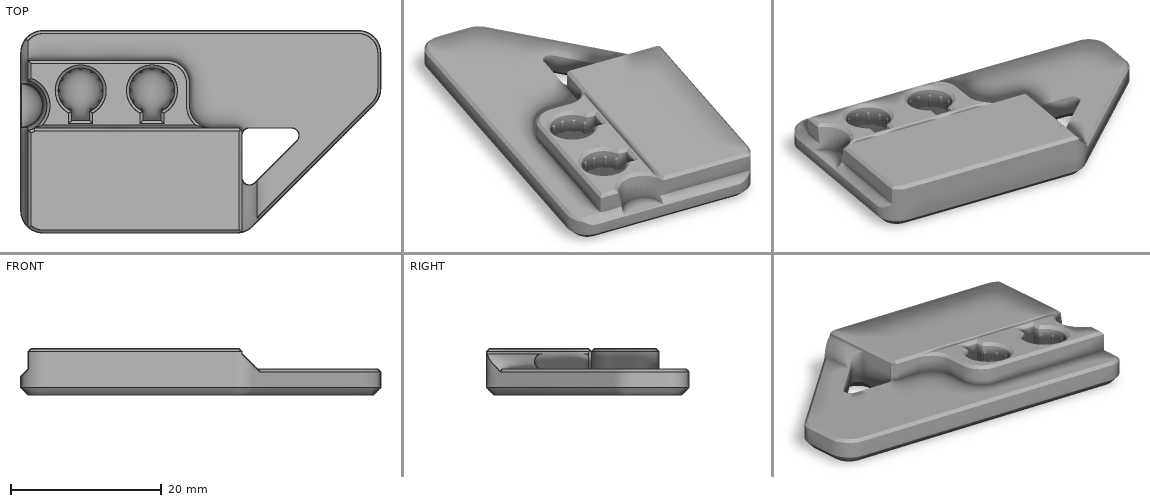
import cadquery as cq
import math

length = 48.0
width = 27.0
total_height = 6.2
plate_height = 3.5
corner_radius = 3.0
diagonal_foot = 30.0
base_chamfer = 1.0
edge_chamfer = 0.4
margin = 1.0

ledge = 1.0

block_end = 29.5
block_depth = 14.0
gusset_length = 2.0

magnet_block_end = 22.5
magnet_block_back = 23.0
magnet_block_radius = 3.0

pocket_xs = (8.0, 17.5)
pocket_y = 19.0
pocket_radius = 3.0
pocket_floor = 3.2
slot_width = 2.4
slot_end = 15.0
rib_count = 12
rib_radius = 0.25
rib_inset = 0.05
rib_top = 5.15
rib_tip = 0.25

open_pocket_y = 17.0
open_pocket_floor = 2.6
open_pocket_floor_radius = 2.9
open_pocket_rim_radius = 3.5

window_diagonal_foot = 24.5
window_radius = 1.0


def box(x_min, x_max, y_min, y_max, z_min, z_max):
    size = (x_max - x_min, y_max - y_min, z_max - z_min)
    return cq.Workplane("XY").box(*size, centered=False).translate((x_min, y_min, z_min))


def outline_prism(height):
    """Full part outline with rounded corners and the chamfered underside."""
    points = [
        (0, 0),
        (diagonal_foot, 0),
        (length, length - diagonal_foot),
        (length, width),
        (0, width),
    ]
    prism = cq.Workplane("XY").polyline(points).close().extrude(height)
    return prism.edges("|Z").fillet(corner_radius).faces("<Z").chamfer(base_chamfer)


def make_plate():
    plate = outline_prism(plate_height).faces(">Z").chamfer(edge_chamfer)
    return plate.cut(ledge_cutter())


def ledge_cutter():
    """Everything above the 45 degree ledge and outside the block's -X wall."""
    profile = [
        (-margin, plate_height - ledge - margin),
        (ledge, plate_height),
        (ledge, total_height + margin),
        (-margin, total_height + margin),
    ]
    cutter = cq.Workplane("XZ").polyline(profile).close().extrude(-(width + 2 * margin))
    return cutter.translate((0, -margin, 0))


def make_tall_block():
    envelope = box(0, block_end, 0, block_depth, 0, total_height)
    block = outline_prism(total_height).intersect(envelope).cut(ledge_cutter())
    half_side = edge_chamfer / math.sqrt(2)
    bevel = box(-half_side, half_side, -half_side, half_side, plate_height, total_height)
    bevel = bevel.rotate((0, 0, 0), (0, 0, 1), 45).translate((block_end, block_depth, 0))
    return block.faces(">Z").chamfer(edge_chamfer).cut(bevel)


def make_gusset():
    """45 degree brace against the +X wall of the tall block."""
    gusset_end = block_end + gusset_length + edge_chamfer
    profile = [
        (block_end, 0),
        (gusset_end, 0),
        (gusset_end, plate_height - edge_chamfer),
        (block_end, plate_height + gusset_length),
    ]
    wedge = cq.Workplane("XZ").polyline(profile).close().extrude(edge_chamfer - block_depth)
    return outline_prism(total_height).intersect(wedge)


def make_magnet_block():
    """Raised block that flares into the back wall of the tall block."""
    r = magnet_block_radius
    bevel = r * math.sin(math.pi / 4)
    corner_x = magnet_block_end - r
    corner_y = magnet_block_back - r
    flare_x = magnet_block_end + r
    flare_y = block_depth + r
    front = block_depth - margin
    block = (
        cq.Workplane("XY")
        .moveTo(ledge, front)
        .lineTo(flare_x, front)
        .lineTo(flare_x, block_depth)
        .threePointArc((flare_x - bevel, flare_y - bevel), (magnet_block_end, flare_y))
        .lineTo(magnet_block_end, corner_y)
        .threePointArc((corner_x + bevel, corner_y + bevel), (corner_x, magnet_block_back))
        .lineTo(ledge, magnet_block_back)
        .close()
        .extrude(total_height)
    )
    block = block.faces(">Z").chamfer(edge_chamfer)
    block = block.intersect(box(ledge, flare_x, block_depth, width, base_chamfer, total_height))
    groove = [
        (block_depth, total_height - edge_chamfer),
        (block_depth + edge_chamfer, total_height),
        (block_depth, total_height),
    ]
    return block.cut(cq.Workplane("YZ").polyline(groove).close().extrude(length))


def keyhole():
    """Straight-walled round hole with a slot towards -Y."""
    height = total_height - pocket_floor
    half_slot = slot_width / 2
    disc = cq.Workplane("XY").circle(pocket_radius).extrude(height)
    slot = box(-half_slot, half_slot, slot_end - pocket_y, 0, 0, height)
    return disc.union(slot).translate((0, 0, pocket_floor))


def keyhole_lead_in():
    """45 degree lead-in around the keyhole rim."""
    lead_in_floor = total_height - edge_chamfer
    cone = cq.Workplane("XY").add(
        cq.Solid.makeCone(
            pocket_radius,
            pocket_radius + edge_chamfer,
            edge_chamfer,
            cq.Vector(0, 0, lead_in_floor),
        )
    )
    slot_length = pocket_y - slot_end
    slot = (
        cq.Workplane("XY")
        .workplane(offset=lead_in_floor)
        .center(0, -slot_length / 2)
        .rect(slot_width, slot_length)
        .workplane(offset=edge_chamfer)
        .rect(slot_width + 2 * edge_chamfer, slot_length + 2 * edge_chamfer)
        .loft(ruled=True)
    )
    return cone.union(slot)


def crush_rib(angle):
    """Slim post on the pocket wall with a conical tip."""
    axis_radius = pocket_radius + rib_inset
    x = axis_radius * math.cos(angle)
    y = axis_radius * math.sin(angle)
    shaft_height = rib_top - rib_tip - pocket_floor
    shaft = cq.Workplane("XY").circle(rib_radius).extrude(shaft_height)
    tip = cq.Solid.makeCone(rib_radius, 0, rib_tip, cq.Vector(0, 0, shaft_height))
    return shaft.union(cq.Workplane("XY").add(tip)).translate((x, y, pocket_floor))


def make_pocket():
    pocket = keyhole().union(keyhole_lead_in())
    for i in range(rib_count):
        angle = -math.pi / 2 + i * 2 * math.pi / rib_count
        if i > 0:
            pocket = pocket.cut(crush_rib(angle))
    return pocket


def make_open_pocket():
    rim_floor = total_height - edge_chamfer
    profile = [
        (0, open_pocket_floor),
        (open_pocket_floor_radius, open_pocket_floor),
        (open_pocket_rim_radius, rim_floor),
        (open_pocket_rim_radius + edge_chamfer, total_height),
        (0, total_height),
    ]
    pocket = cq.Workplane("XZ").polyline(profile).close().revolve(360, (0, 0, 0), (0, 1, 0))
    return pocket.translate((0, open_pocket_y, 0))


def window_prism(offset, height):
    """Triangular window with its walls moved outwards by the offset."""
    left = block_end - offset
    back = block_depth + offset
    foot = window_diagonal_foot + offset * math.sqrt(2)
    points = [(left, back), (left, left - foot), (foot + back, back)]
    prism = cq.Workplane("XY").polyline(points).close().extrude(height)
    return prism.edges("|Z").fillet(window_radius + offset)


def make_window():
    flare = window_prism(base_chamfer, base_chamfer + margin).faces(">Z").chamfer(base_chamfer)
    flare = flare.translate((0, 0, -margin))
    return flare.union(window_prism(0, total_height))


result = make_plate().union(make_tall_block()).union(make_gusset()).union(make_magnet_block())
result = result.cut(make_window()).cut(make_open_pocket())
for pocket_x in pocket_xs:
    result = result.cut(make_pocket().translate((pocket_x, pocket_y, 0)))